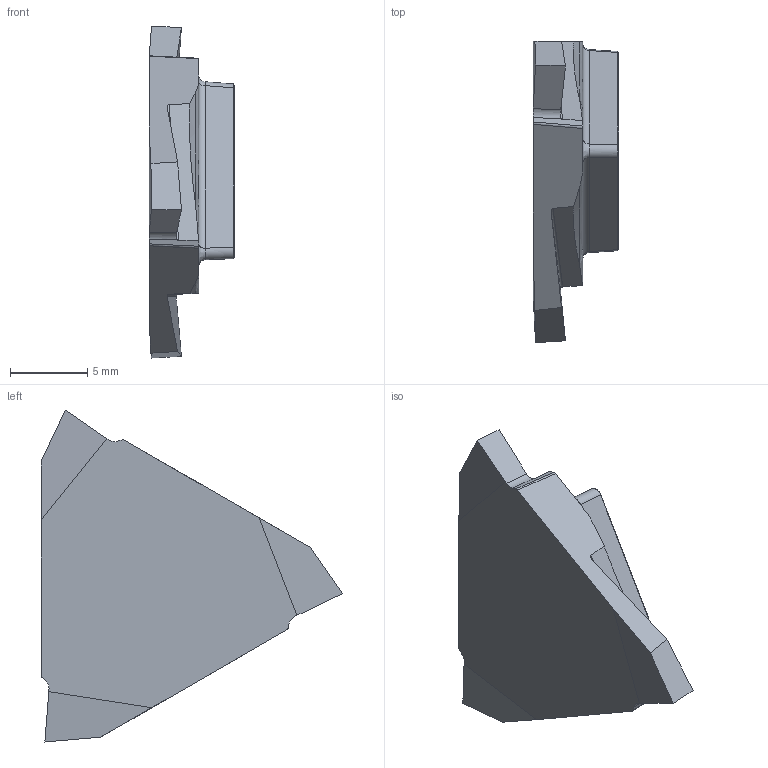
import cadquery as cq
import math


CORNERS = 3
CORNER_STEP = 360.0 / CORNERS

plate_thickness = 3.2
side_distance = 7.1
tip_radius = 12.465
tip_turn = 33.5

side_normal = 0.0
notch_normal = -47.0
notch_draft = 4.0
minor_edge_normal = 4.5
minor_edge_draft = 1.6
end_edge_normal = -95.0
end_edge_draft = 3.0
notch_start = (side_distance, -6.16)
notch_crest_radius = 0.2
notch_root_radius = 0.67

pocket_root = (1.13, -3.4, -6.26)
wall_draft = 3.0
floor_rise_along = 3.46
floor_rise_out = 4.8
pocket_root_radius = 0.15

dip_crest = (-2.5, -5.37)
dip_radius = 27.0
dip_shoulder_depth = 0.2
dip_slope = 26.0
dip_slope_width = 1.3

relief_start = (6.638, -7.113)
relief_end = (-0.065, -8.16)
relief_angle = 2.54

boss_top = 5.54
boss_distance = 4.03
boss_draft = 2.2
boss_corner_radius = 0.5
boss_base_radius = 0.45
boss_rim_chamfer = 0.07

reach = 30.0


def unit(angle):
    return math.cos(math.radians(angle)), math.sin(math.radians(angle))


def slope(angle):
    return math.tan(math.radians(angle))


def line_through(point, normal_angle, inset=0.0):
    """Line as its normal and its distance from the axis, moved inward by inset."""
    normal = unit(normal_angle)
    return normal, point[0] * normal[0] + point[1] * normal[1] - inset


def crossing(line_a, line_b):
    (ay, az), a_distance = line_a
    (by, bz), b_distance = line_b
    determinant = ay * bz - az * by
    y = (a_distance * bz - b_distance * az) / determinant
    z = (ay * b_distance - by * a_distance) / determinant
    return y, z


def turned(point, corner):
    """Point of the -Z corner moved to another corner."""
    y, z = point
    cos, sin = unit(-CORNER_STEP * corner)
    return y * cos - z * sin, y * sin + z * cos


def corner_points(x):
    """Notch crest, notch root, tip and end of the end edge, for the outline at depth x."""
    tip_direction = unit(tip_turn - 90)
    tip = (tip_radius * tip_direction[0], tip_radius * tip_direction[1])
    next_side_normal = side_normal - CORNER_STEP
    next_side_point = turned((side_distance, 0), 1)
    lines = [
        line_through((side_distance, 0), side_normal),
        line_through(notch_start, notch_normal, x * slope(notch_draft)),
        line_through(tip, minor_edge_normal, x * slope(minor_edge_draft)),
        line_through(tip, end_edge_normal, x * slope(end_edge_draft)),
        line_through(next_side_point, next_side_normal),
    ]
    return [crossing(first, second) for first, second in zip(lines, lines[1:])]


def cut_corners(body, cutter):
    for corner in range(CORNERS):
        body = body.cut(cutter.rotate((0, 0, 0), (1, 0, 0), -CORNER_STEP * corner))
    return body


def make_plate():
    def outline(x):
        return [turned(point, corner) for corner in range(CORNERS) for point in corner_points(x)]

    plate = (
        cq.Workplane("YZ").polyline(outline(0)).close()
        .workplane(offset=plate_thickness).polyline(outline(plate_thickness)).close()
        .loft(ruled=True)
    )
    middle = plate_thickness / 2
    crest, root = corner_points(middle)[:2]
    for point, radius in ((root, notch_root_radius), (crest, notch_crest_radius)):
        for corner in range(CORNERS):
            y, z = turned(point, corner)
            plate = plate.edges(cq.selectors.NearestToPointSelector((middle, y, z))).fillet(radius)
    return plate


def profile_plane(origin, along):
    """Sketch plane square to `along`: sketch x points towards the axis, sketch y towards the front."""
    front = cq.Vector(1, 0, 0)
    inward = front.cross(cq.Vector(*along))
    return cq.Workplane(cq.Plane(origin=origin, xDir=inward, normal=along))


def make_pocket_cutter():
    along = (slope(floor_rise_along), 1, 0)
    cutter = (
        profile_plane(pocket_root, along)
        .polyline([
            (0, 0),
            (-reach, reach * slope(floor_rise_out)),
            (-reach, reach),
            (reach * slope(wall_draft), reach),
        ]).close()
        .extrude(reach, both=True)
    )
    root_edge = cq.selectors.NearestToPointSelector(pocket_root)
    return cutter.edges(root_edge).fillet(pocket_root_radius)


def make_dip_cutter():
    shoulder_radius = dip_shoulder_depth / (1 - unit(dip_slope)[0])
    shoulder_width = shoulder_radius * unit(dip_slope)[1]
    half_turn = unit(dip_slope / 2)
    arc_middle = (
        shoulder_width - shoulder_radius * half_turn[1],
        -shoulder_radius * (1 - half_turn[0]),
    )
    return (
        profile_plane((plate_thickness, *dip_crest), (0, 1, 0))
        .moveTo(shoulder_width, 0)
        .threePointArc(arc_middle, (0, -dip_shoulder_depth))
        .lineTo(-dip_slope_width, -dip_shoulder_depth - dip_slope_width * slope(dip_slope))
        .lineTo(-dip_slope_width, reach)
        .lineTo(shoulder_width, reach)
        .close()
        .revolve(360, (-dip_radius, 0), (-dip_radius, 1))
    )


def make_relief_cutter():
    along = (0, relief_start[0] - relief_end[0], relief_start[1] - relief_end[1])
    return (
        profile_plane((0, *relief_start), along)
        .polyline([(0, 0), (-reach, reach * slope(relief_angle)), (-reach, 0)]).close()
        .extrude(reach, both=True)
    )


def make_boss():
    triangle = [(0, 2 * boss_distance)]
    triangle += [turned(triangle[0], corner) for corner in (1, 2)]
    return (
        cq.Workplane("YZ").workplane(offset=plate_thickness)
        .polyline(triangle).close()
        .extrude(boss_top - plate_thickness, taper=boss_draft)
        .edges("not #X").fillet(boss_corner_radius)
        .faces(">X").edges().chamfer(boss_rim_chamfer)
    )


def join_boss(plate):
    body = plate.union(make_boss())
    margin = 0.01
    half_width = boss_distance * math.sqrt(CORNERS)
    footprint = cq.selectors.BoxSelector(
        (plate_thickness - margin, -half_width, -boss_distance - margin),
        (plate_thickness + margin, half_width, 2 * boss_distance),
        boundingbox=True,
    )
    return body.edges(footprint).fillet(boss_base_radius)


result = join_boss(make_plate())
result = cut_corners(result, make_pocket_cutter())
result = cut_corners(result, make_dip_cutter())
result = cut_corners(result, make_relief_cutter())